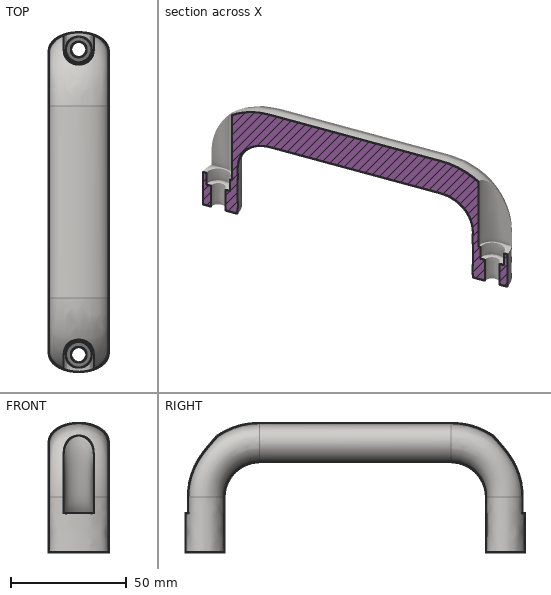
import cadquery as cq

span = 147.0
height = 56.0
section_width = 26.0
section_depth = 17.0
bend_radius = 23.5

hole_pitch = 132.0
hole_diameter = 6.6
counterbore_diameter = 11.2
counterbore_depth = 6.0
slot_width = 13.0
slot_floor = 17.0

leg_offset = (span - section_depth) / 2
bar_height = height - section_depth / 2
bend_start = bar_height - bend_radius
straight_half_length = leg_offset - bend_radius


def oval_section(plane, origin):
    """Elliptical bar section, wide along X, centred on the given origin."""
    half_width = section_width / 2
    half_depth = section_depth / 2
    return cq.Workplane(plane, origin=origin).ellipse(half_width, half_depth)


def grip():
    """Straight middle length of the handle."""
    start = (0, straight_half_length, bar_height)
    return oval_section("XZ", start).extrude(2 * straight_half_length)


def front_leg():
    """Bend and straight leg at the -Y end."""
    leg = oval_section("XY", (0, -leg_offset, 0)).extrude(bend_start)
    bend = (
        oval_section("XY", (0, -leg_offset, bend_start))
        .revolve(90, (0, bend_radius, 0), (-1, bend_radius, 0))
    )
    return leg.union(bend)


def screw_seat():
    """Slot open to the -Y end, counterbore and through hole of the -Y leg."""
    seat = cq.Workplane("XY").center(0, -hole_pitch / 2)
    slot_end = seat.workplane(offset=slot_floor).circle(slot_width / 2).extrude(height)
    slot_mouth = (
        seat.workplane(offset=slot_floor)
        .rect(slot_width, section_depth)
        .extrude(height)
        .translate((0, -section_depth / 2, 0))
    )
    counterbore = (
        seat.workplane(offset=slot_floor - counterbore_depth)
        .circle(counterbore_diameter / 2)
        .extrude(counterbore_depth)
    )
    hole = seat.circle(hole_diameter / 2).extrude(slot_floor)
    return slot_end.union(slot_mouth).union(counterbore).union(hole)


front_end = front_leg()
seat = screw_seat()
result = grip().union(front_end).union(front_end.mirror("XZ"))
result = result.cut(seat).cut(seat.mirror("XZ"))